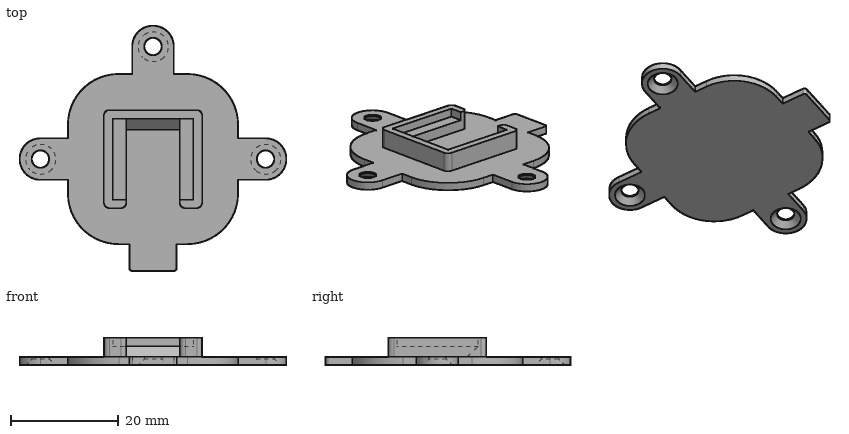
import cadquery as cq

plate_side = 31.8
plate_thickness = 1.5
plate_corner_radius = 9.5

lug_radius = 3.9
lug_hole_offset = 21.0
lug_hole_diameter = 3.2
countersink_diameter = 5.6
countersink_depth = 1.2
lug_angles = (0, 90, 180)

tab_width = 8.8
tab_reach = 20.9
tab_corner_radius = 0.5

holder_side = 18.3
holder_top = 5.1
holder_corner_radius = 1.0
holder_wall = 1.6
pocket_depth = 1.6
channel_width = 10.0
ramp_run = 2.1

ledge_height = holder_top - pocket_depth
pocket_side = holder_side - 2 * holder_wall
half_pocket = pocket_side / 2
channel_length = holder_side - holder_wall
channel_center_y = -holder_wall / 2


def make_plate():
    """Square plate with large rounded corners."""
    plate = cq.Workplane("XY").rect(plate_side, plate_side).extrude(plate_thickness)
    return plate.edges("|Z").fillet(plate_corner_radius)


def make_lug(angle):
    """Round-ended arm from the plate centre, turned to the given angle."""
    arm = (
        cq.Workplane("XY")
        .moveTo(0, -lug_radius)
        .lineTo(lug_hole_offset, -lug_radius)
        .threePointArc((lug_hole_offset + lug_radius, 0), (lug_hole_offset, lug_radius))
        .lineTo(0, lug_radius)
        .close()
        .extrude(plate_thickness)
    )
    return arm.rotate((0, 0, 0), (0, 0, 1), angle)


def make_lug_hole(angle):
    """Through-hole cutter with a countersink in the underside."""
    hole = (
        cq.Workplane("XY")
        .center(lug_hole_offset, 0)
        .circle(lug_hole_diameter / 2)
        .extrude(plate_thickness)
    )
    countersink = (
        cq.Workplane("XY")
        .center(lug_hole_offset, 0)
        .circle(countersink_diameter / 2)
        .workplane(offset=countersink_depth)
        .circle(lug_hole_diameter / 2)
        .loft()
    )
    return hole.union(countersink).rotate((0, 0, 0), (0, 0, 1), angle)


def make_tab():
    """Rectangular tab with slightly rounded front corners."""
    tab = (
        cq.Workplane("XY")
        .rect(tab_width, tab_reach)
        .extrude(plate_thickness)
        .translate((0, -tab_reach / 2, 0))
    )
    return tab.edges("|Z and <Y").fillet(tab_corner_radius)


def make_holder():
    """U-shaped wall with side ledges and a ramp inside the rear wall."""
    block = (
        cq.Workplane("XY")
        .rect(holder_side, holder_side)
        .extrude(holder_top)
    )
    channel = (
        cq.Workplane("XY")
        .workplane(offset=plate_thickness)
        .rect(channel_width, channel_length)
        .extrude(holder_top - plate_thickness)
        .translate((0, channel_center_y, 0))
    )
    pocket = (
        cq.Workplane("XY")
        .workplane(offset=ledge_height)
        .rect(pocket_side, pocket_side)
        .extrude(pocket_depth)
    )
    walls = block.cut(channel).edges("|Z and (<X or >X or <Y)").fillet(holder_corner_radius)
    return walls.cut(pocket).union(make_ramp())


def make_ramp():
    """Wedge falling from ledge height at the rear wall to the plate surface."""
    return (
        cq.Workplane("YZ")
        .moveTo(half_pocket, plate_thickness)
        .lineTo(half_pocket, ledge_height)
        .lineTo(half_pocket - ramp_run, plate_thickness)
        .close()
        .extrude(channel_width / 2, both=True)
    )


result = make_plate().union(make_tab())
for lug_angle in lug_angles:
    result = result.union(make_lug(lug_angle))
result = result.union(make_holder())
for lug_angle in lug_angles:
    result = result.cut(make_lug_hole(lug_angle))